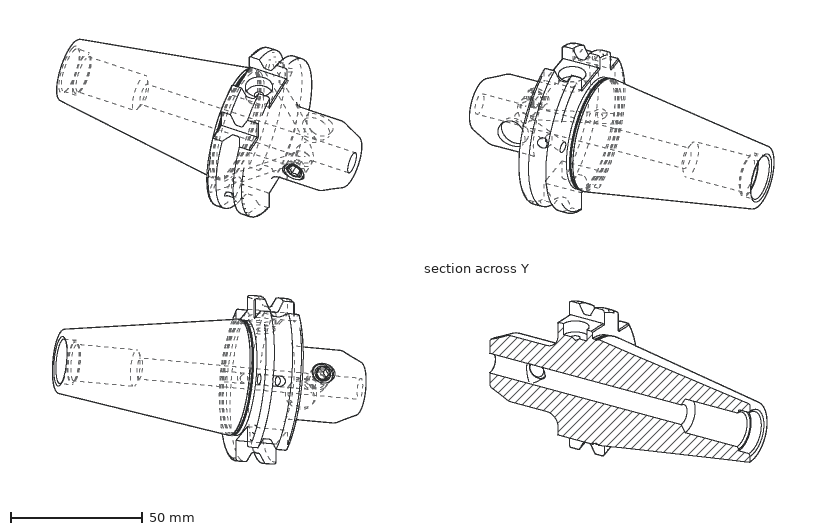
import cadquery as cq
import math


TOTAL_LENGTH = 118.4
GAUGE_X = 68.4
GAUGE_RADIUS = 22.3
TAPER_SLOPE = 7 / 48
TAPER_END_RADIUS = GAUGE_RADIUS - GAUGE_X * TAPER_SLOPE
TAPER_END_ROUND = 1.0

LAND_END_X = GAUGE_X + 0.5
NECK_RADIUS = 22.0
NECK_GROOVE_X = 69.9
NECK_GROOVE_WIDTH = 0.5
NECK_GROOVE_DEPTH = 0.4

FLANGE_START_X = 71.6
FLANGE_END_X = 87.5
FLANGE_RADIUS = 31.7
FLANGE_ROUND = 1.0

GROOVE_X = 79.5
GROOVE_FLOOR_RADIUS = 28.0
GROOVE_FLOOR_WIDTH = 2.8
GROOVE_WALL_ANGLE = 60.0
GROOVE_ROUND = 1.2

NOSE_RADIUS = 14.0
NOSE_BASE_ROUND = 5.0
NOSE_CONE_X = 109.6
NOSE_CONE_ANGLE = 25.0
NOSE_CONE_ROUND = 2.4
NOSE_END_ROUND = 1.8
NOSE_END_RADIUS = NOSE_RADIUS - (TOTAL_LENGTH - NOSE_CONE_X) * math.tan(math.radians(NOSE_CONE_ANGLE))

TOOL_BORE_RADIUS = 4.0
REAR_MOUTH_RADIUS = 9.5
REAR_MOUTH_DEPTH = 0.6
REAR_RECESS_RADIUS = 8.5
REAR_RECESS_DEPTH = 5.2
THREAD_LEAD_RADIUS = 7.8
THREAD_RADIUS = 7.0
THREAD_END_X = 29.6
DRILL_POINT_HALF_ANGLE = 59.0

SLOT_WIDTH = 16.3
UPPER_SLOT_FLOOR_Z = 25.0
LOWER_SLOT_FLOOR_Z = -22.5
NOTCH_WALL_Y = -18.5
NOTCH_FLOOR_Z = 18.2
EDGE_CHAMFER = 0.5

CHIP_HOLE_RADIUS = 5.2
CHIP_HOLE_DEPTH = 4.6
CHIP_PILOT_RADIUS = 1.8

COOLANT_AZIMUTH = 20.0
COOLANT_MOUTH_RADIUS = 26.8
COOLANT_TILT = 40.0
COOLANT_HOLE_RADIUS = 2.0

BALANCE_X = 98.5
BALANCE_RADIUS = 5.7
BALANCE_FLOOR_Y = 10.7

SCREW_X = 100.2
SCREW_RADIUS = 4.0
SCREW_LENGTH = 8.0
SCREW_HEAD_Y = -13.0
SCREW_CHAMFER = 1.0
SCREW_MOUTH_RADIUS = 4.5
HEX_ACROSS_FLATS = 4.0
HEX_DEPTH = 4.0
HEX_MOUTH_RADIUS = 2.6


def turned(points):
    """A solid turned about the X axis from (x, radius) points, closed along the axis."""
    first_x = points[0][0]
    last_x = points[-1][0]
    outline = [(first_x, 0)] + points + [(last_x, 0)]
    return cq.Workplane("XY").polyline(outline).close().revolve(360, (0, 0, 0), (1, 0, 0))


def round_rim(body, x, rim_radius, round_radius):
    """Round the circular edge of a turned body that lies at x and has the given radius."""
    tolerance = 0.01

    def is_rim(edge):
        if edge.geomType() != "CIRCLE":
            return False
        return abs(edge.Center().x - x) < tolerance and abs(edge.radius() - rim_radius) < tolerance

    return body.edges().filter(is_rim).fillet(round_radius)


def block(x_range, y_range, z_range):
    """A rectangular block between pairs of limits."""
    size = [high - low for low, high in (x_range, y_range, z_range)]
    corner = cq.Vector(x_range[0], y_range[0], z_range[0])
    return cq.Workplane(cq.Solid.makeBox(*size, pnt=corner))


def cylinder(radius, length, start, direction):
    return cq.Workplane(cq.Solid.makeCylinder(radius, length, cq.Vector(*start), cq.Vector(*direction)))


def cone(start_radius, end_radius, length, start, direction):
    return cq.Workplane(
        cq.Solid.makeCone(start_radius, end_radius, length, cq.Vector(*start), cq.Vector(*direction))
    )


def make_blank():
    neck_groove_end_x = NECK_GROOVE_X + NECK_GROOVE_WIDTH
    neck_groove_radius = NECK_RADIUS - NECK_GROOVE_DEPTH
    blank = turned([
        (0, TAPER_END_RADIUS),
        (GAUGE_X, GAUGE_RADIUS),
        (LAND_END_X, GAUGE_RADIUS),
        (LAND_END_X, NECK_RADIUS),
        (NECK_GROOVE_X, NECK_RADIUS),
        (NECK_GROOVE_X, neck_groove_radius),
        (neck_groove_end_x, neck_groove_radius),
        (neck_groove_end_x, NECK_RADIUS),
        (FLANGE_START_X, NECK_RADIUS),
        (FLANGE_START_X, FLANGE_RADIUS),
        (FLANGE_END_X, FLANGE_RADIUS),
        (FLANGE_END_X, NOSE_RADIUS),
        (NOSE_CONE_X, NOSE_RADIUS),
        (TOTAL_LENGTH, NOSE_END_RADIUS),
    ])
    blank = round_rim(blank, 0, TAPER_END_RADIUS, TAPER_END_ROUND)
    blank = round_rim(blank, FLANGE_START_X, FLANGE_RADIUS, FLANGE_ROUND)
    blank = round_rim(blank, FLANGE_END_X, FLANGE_RADIUS, FLANGE_ROUND)
    blank = round_rim(blank, FLANGE_END_X, NOSE_RADIUS, NOSE_BASE_ROUND)
    blank = round_rim(blank, NOSE_CONE_X, NOSE_RADIUS, NOSE_CONE_ROUND)
    return round_rim(blank, TOTAL_LENGTH, NOSE_END_RADIUS, NOSE_END_ROUND)


def make_v_groove():
    outside_radius = FLANGE_RADIUS + 1.2
    half_floor = GROOVE_FLOOR_WIDTH / 2
    wall_run = (outside_radius - GROOVE_FLOOR_RADIUS) / math.tan(math.radians(GROOVE_WALL_ANGLE))
    half_top = half_floor + wall_run
    groove = (
        cq.Workplane("XY")
        .moveTo(GROOVE_X - half_top, outside_radius)
        .lineTo(GROOVE_X - half_floor, GROOVE_FLOOR_RADIUS)
        .lineTo(GROOVE_X + half_floor, GROOVE_FLOOR_RADIUS)
        .lineTo(GROOVE_X + half_top, outside_radius)
        .close()
        .revolve(360, (0, 0, 0), (1, 0, 0))
    )
    for x in (GROOVE_X - half_floor, GROOVE_X + half_floor):
        groove = round_rim(groove, x, GROOVE_FLOOR_RADIUS, GROOVE_ROUND)
    return groove


def make_bore():
    drill_point_slope = math.tan(math.radians(DRILL_POINT_HALF_ANGLE))
    drill_point_end_x = THREAD_END_X + (THREAD_RADIUS - TOOL_BORE_RADIUS) / drill_point_slope
    thread_lead_end_x = REAR_RECESS_DEPTH + THREAD_LEAD_RADIUS - THREAD_RADIUS
    return turned([
        (0, REAR_MOUTH_RADIUS),
        (REAR_MOUTH_DEPTH, REAR_RECESS_RADIUS),
        (REAR_RECESS_DEPTH, REAR_RECESS_RADIUS),
        (REAR_RECESS_DEPTH, THREAD_LEAD_RADIUS),
        (thread_lead_end_x, THREAD_RADIUS),
        (THREAD_END_X, THREAD_RADIUS),
        (drill_point_end_x, TOOL_BORE_RADIUS),
        (TOTAL_LENGTH, TOOL_BORE_RADIUS),
    ])


def make_flange_cutouts():
    """Two drive slots and a corner notch, cut through the length of the flange."""
    flange_x = (FLANGE_START_X, FLANGE_END_X)
    slot_y = (-SLOT_WIDTH / 2, SLOT_WIDTH / 2)
    far = FLANGE_RADIUS + 1.2
    upper_slot = block(flange_x, slot_y, (UPPER_SLOT_FLOOR_Z, far))
    lower_slot = block(flange_x, slot_y, (-far, LOWER_SLOT_FLOOR_Z))
    notch = block(flange_x, (-far, NOTCH_WALL_Y), (NOTCH_FLOOR_Z, far))
    return [upper_slot, lower_slot, notch]


def make_edge_flares():
    """Wedges that chamfer the slot floor, notch floor and notch wall where they meet the flange faces."""
    flares = []
    far = FLANGE_RADIUS + 1.2
    for face_x, inward in ((FLANGE_START_X, 1), (FLANGE_END_X, -1)):
        inner_x = face_x + inward * EDGE_CHAMFER
        for floor_z, y_low, y_high in (
            (UPPER_SLOT_FLOOR_Z, -SLOT_WIDTH / 2, SLOT_WIDTH / 2),
            (NOTCH_FLOOR_Z, -far, NOTCH_WALL_Y),
        ):
            floor_flare = (
                cq.Workplane("XZ", origin=(0, y_high, 0))
                .polyline([(face_x, floor_z), (inner_x, floor_z), (face_x, floor_z - EDGE_CHAMFER)])
                .close()
                .extrude(y_high - y_low)
            )
            flares.append(floor_flare)
        wall_flare = (
            cq.Workplane("XY", origin=(0, 0, NOTCH_FLOOR_Z))
            .polyline([
                (face_x, NOTCH_WALL_Y),
                (inner_x, NOTCH_WALL_Y),
                (face_x, NOTCH_WALL_Y + EDGE_CHAMFER),
            ])
            .close()
            .extrude(far - NOTCH_FLOOR_Z)
        )
        flares.append(wall_flare)
    return flares


def make_chip_hole():
    down = (0, 0, -1)
    floor_z = UPPER_SLOT_FLOOR_Z - CHIP_HOLE_DEPTH
    pilot_depth = CHIP_PILOT_RADIUS / math.tan(math.radians(DRILL_POINT_HALF_ANGLE))
    pocket = cylinder(CHIP_HOLE_RADIUS, CHIP_HOLE_DEPTH, (GROOVE_X, 0, UPPER_SLOT_FLOOR_Z), down)
    pilot = cone(CHIP_PILOT_RADIUS, 0, pilot_depth, (GROOVE_X, 0, floor_z), down)
    return pocket.union(pilot)


def make_coolant_hole(azimuth):
    """A hole slanting from the flange face to the bore, met by a radial hole from the V-groove."""
    tilt = math.radians(COOLANT_TILT)
    slanted_length = COOLANT_MOUTH_RADIUS / math.sin(tilt)
    lead_in = 3.5
    along = (math.cos(tilt), 0, -math.sin(tilt))
    start = (
        FLANGE_START_X - lead_in * along[0],
        0,
        COOLANT_MOUTH_RADIUS - lead_in * along[2],
    )
    slanted = cylinder(COOLANT_HOLE_RADIUS, slanted_length + lead_in, start, along)
    meeting_radius = COOLANT_MOUTH_RADIUS - (GROOVE_X - FLANGE_START_X) * math.tan(tilt)
    radial = cylinder(
        COOLANT_HOLE_RADIUS, FLANGE_RADIUS - meeting_radius, (GROOVE_X, 0, meeting_radius), (0, 0, 1)
    )
    return slanted.union(radial).rotate((0, 0, 0), (1, 0, 0), azimuth)


def make_balance_hole():
    return cylinder(
        BALANCE_RADIUS, NOSE_RADIUS + 1.2 - BALANCE_FLOOR_Y, (BALANCE_X, BALANCE_FLOOR_Y, 0), (0, 1, 0)
    )


def make_screw_hole():
    outward = (0, -1, 0)
    flare_start = NOSE_RADIUS - (SCREW_MOUTH_RADIUS - SCREW_RADIUS)
    shaft = cylinder(SCREW_RADIUS, NOSE_RADIUS, (SCREW_X, 0, 0), outward)
    flare_length = 2 * (NOSE_RADIUS - flare_start)
    flare = cone(
        SCREW_RADIUS, SCREW_RADIUS + flare_length, flare_length, (SCREW_X, -flare_start, 0), outward
    )
    return shaft.union(flare)


def make_holder():
    holder = make_blank().cut(make_v_groove()).cut(make_bore())
    for cutout in make_flange_cutouts() + make_edge_flares():
        holder = holder.cut(cutout)
    holder = holder.cut(make_chip_hole())
    for half_turn in (0, 180):
        holder = holder.cut(make_coolant_hole(COOLANT_AZIMUTH - 90 + half_turn))
    return holder.cut(make_balance_hole()).cut(make_screw_hole())


def make_clamping_screw():
    """Set screw with chamfered ends and a countersunk hexagon socket in its outer end."""
    inward = (0, 1, 0)
    head = (SCREW_X, SCREW_HEAD_Y, 0)
    screw = cylinder(SCREW_RADIUS, SCREW_LENGTH, head, inward).faces("<Y or >Y").chamfer(SCREW_CHAMFER)
    hex_across_corners = HEX_ACROSS_FLATS / math.cos(math.radians(30))
    socket = (
        cq.Workplane("XZ", origin=head).polygon(6, hex_across_corners).extrude(-HEX_DEPTH)
    )
    countersink = cone(HEX_MOUTH_RADIUS, 0, HEX_MOUTH_RADIUS, head, inward)
    return screw.cut(socket).cut(countersink)


holder = make_holder()
clamping_screw = make_clamping_screw()
result = cq.Compound.makeCompound([holder.val(), clamping_screw.val()])